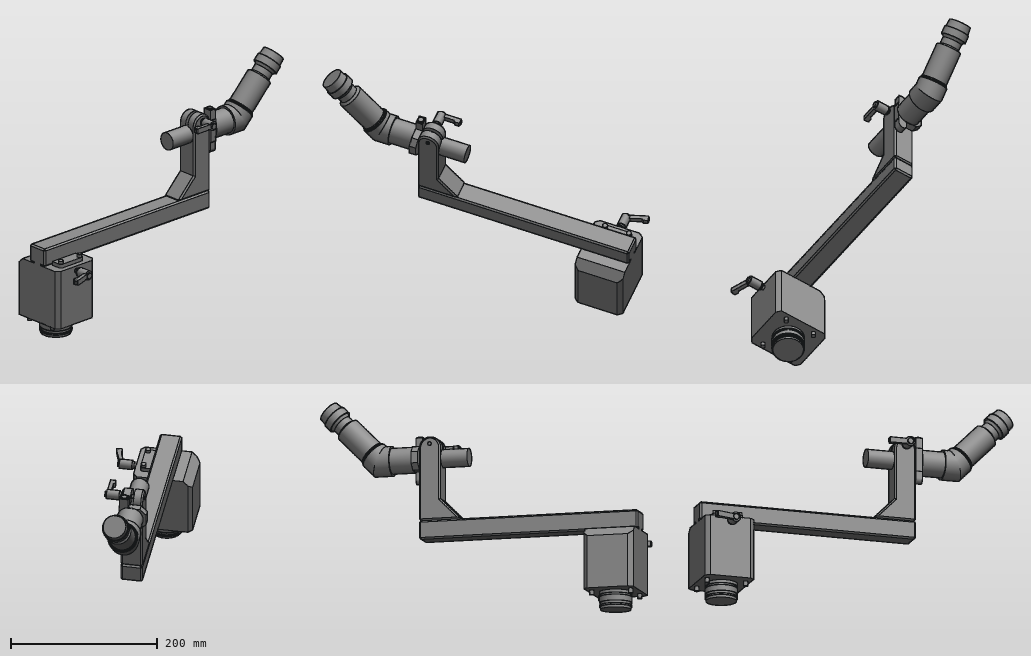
import cadquery as cq
import math

bar_width = 30.0
bar_height = 26.0
bar_length = 310.0
bar_bottom = 109.0
bar_top = bar_bottom + bar_height
edge_chamfer = 2.3

column_depth = 30.0
column_back = bar_length
column_front = column_back - column_depth
column_middle = column_back - column_depth / 2
crown_radius = column_depth / 2
crown_height = 236.0
gusset_rise = 29.5
slit_width = 4.5

housing_width = 82.0
housing_depth = 70.0
housing_bottom = 24.5
corner_diameter = 100.0
shoulder_chamfer = 12.2
key_width = 13.0

lens_middle = housing_depth / 2
lens_diameter = 45.0
lens_neck_diameter = 42.0
lens_bands = [
    (lens_diameter, 20.5, housing_bottom),
    (lens_neck_diameter, 17.5, 20.5),
    (lens_diameter, 9.5, 17.5),
    (lens_neck_diameter, 6.0, 9.5),
    (lens_diameter, 3.5, 6.0),
    (lens_neck_diameter, 0, 3.5),
]

foot_diameter = 6.0
foot_length = 6.5
foot_offset_x = 22.5
foot_offset_y = 27.5

plate_inside = 16.5
plate_side = 33.0
plate_front = 13.0
plate_back = 56.0
plate_height = 5.5
screw_diameter = 7.0
screw_head_height = 4.0
screw_inset = 4.0

hub_diameter = 13.0
hub_length = 17.5
cap_diameter = 8.0
cap_length = 2.3
collar_diameter = 10.0
collar_length = 2.5
stem_diameter = 7.0
lever_width = 5.5
lever_thickness = 7.2
paddle_width = 7.5
paddle_length = 10.0
paddle_bevel = 2.3
tip_chamfer = 1.5

clamp_pin_diameter = 5.0
clamp_pin_head = 1.5
clamp_pin_height = 241.0
upper_hub_start = 19.0
upper_lever_length = 30.0

lower_hub_start = 47.5
lower_hub_height = 102.5
lower_lever_length = 32.0
lower_lever_tilt = 18.6

scope_height = 222.0
rod_diameter = 25.0
rod_front = 243.0
barrel_diameter = 36.0
barrel_back = 351.5
elbow_diameter = 41.0
bend_place = 368.2
bend_angle = 45.0
elbow_leg = 14.0
ring_step = 16.0
ring_end = 17.5
ring_diameter = 39.0
ring_step_diameter = 37.0
tube_end = 66.0
neck_diameter = 27.5
neck_start = 69.0
neck_end = 78.0
eyecup_start = 82.0
eyecup_base_diameter = 31.5
eyecup_step = 93.0
eyecup_end = 104.0
eyecup_diameter = 36.0
eyecup_rim_diameter = 33.0
eyecup_face_diameter = 31.3

block_back = 319.5
block_left = -22.0
block_right = 16.0
block_half_height = 16.5
block_corner = 8.5
post_left = 2.5
post_right = 15.0
post_top = 253.5
post_bottom = 189.5
post_chamfer = 1.0
button_diameter = 8.0
button_height = 1.0


def box(x_range, y_range, z_range):
    """Box given by its lower and upper limits along each axis."""
    sizes = [high - low for low, high in (x_range, y_range, z_range)]
    return cq.Workplane("XY", origin=(x_range[0], y_range[0], z_range[0])).box(*sizes, centered=False)


def turned(origin, axis, side, outline):
    """Solid of revolution: the outline lists (radius, place along the axis)."""
    normal = cq.Vector(*side).cross(cq.Vector(*axis))
    plane = cq.Plane(origin=origin, xDir=side, normal=normal)
    return cq.Workplane(plane).polyline(outline).close().revolve(360, (0, 0), (0, 1))


def rod_along_y(diameter, start, end):
    return cq.Workplane("XZ", origin=(0, start, scope_height)).circle(diameter / 2).extrude(start - end)


def make_bar():
    half = bar_width / 2
    return box((-half, half), (0, bar_length), (bar_bottom, bar_top)).edges().chamfer(edge_chamfer)


def make_column():
    gusset_front = column_front - gusset_rise
    column = (
        cq.Workplane("YZ", origin=(-bar_width / 2, 0, 0))
        .moveTo(column_back, bar_top)
        .lineTo(column_back, crown_height)
        .threePointArc((column_middle, crown_height + crown_radius), (column_front, crown_height))
        .lineTo(column_front, bar_top + gusset_rise)
        .lineTo(gusset_front, bar_top)
        .close()
        .extrude(bar_width)
        .faces("<X or >X or <Z")
        .edges()
        .chamfer(edge_chamfer)
    )
    rod_bore = rod_along_y(rod_diameter, gusset_front, column_back)
    crown_top = crown_height + crown_radius
    half_slit = slit_width / 2
    slit = box((-half_slit, half_slit), (column_front, column_back), (scope_height, crown_top))
    return column.cut(rod_bore).cut(slit)


def make_housing():
    half = housing_width / 2
    block = box((-half, half), (0, housing_depth), (housing_bottom, bar_bottom))
    turned_corners = (
        cq.Workplane("XY", origin=(0, housing_depth / 2, housing_bottom))
        .circle(corner_diameter / 2)
        .extrude(bar_bottom - housing_bottom)
    )
    shoulder = (
        cq.Workplane("XZ")
        .polyline([
            (-half, bar_bottom),
            (-half + shoulder_chamfer, bar_bottom),
            (-half, bar_bottom - shoulder_chamfer),
        ])
        .close()
        .extrude(-housing_depth)
    )
    key_half = key_width / 2
    key = box((-key_half, key_half), (0, housing_depth), (bar_bottom, bar_bottom + 2 * edge_chamfer))
    return block.intersect(turned_corners).cut(shoulder).union(key)


def make_lens():
    """Stack of wide and narrow bands."""
    lens = cq.Workplane("XY")
    for diameter, bottom, top in lens_bands:
        band = (
            cq.Workplane("XY", origin=(0, lens_middle, bottom))
            .circle(diameter / 2)
            .extrude(top - bottom)
        )
        lens = lens.union(band)
    return lens


def make_feet():
    return (
        cq.Workplane("XY", origin=(0, lens_middle, housing_bottom))
        .rect(2 * foot_offset_x, 2 * foot_offset_y, forConstruction=True)
        .vertices()
        .circle(foot_diameter / 2)
        .extrude(-foot_length)
    )


def make_side_plate():
    plate = (
        box((plate_inside, plate_side), (plate_front, plate_back), (bar_bottom, bar_bottom + plate_height))
        .edges("|Z and >X")
        .fillet(screw_inset)
    )
    screw_x = plate_side - screw_inset
    screws = (
        cq.Workplane("XY", origin=(0, 0, bar_bottom))
        .pushPoints([(screw_x, plate_front + screw_inset), (screw_x, plate_back - screw_inset)])
        .circle(screw_diameter / 2)
        .extrude(plate_height + screw_head_height)
    )
    return plate.union(screws)


def make_clamp_lever(wall, hub_start, y, z, lever_length, tilt):
    """Lever on a stem that leaves the wall along +X; the lever points to -Y, tilted towards +X."""
    hub_end = hub_start + hub_length
    collar_start = hub_start - collar_length
    spindle = turned((0, y, z), (1, 0, 0), (0, 1, 0), [
        (0, wall),
        (stem_diameter / 2, wall),
        (stem_diameter / 2, collar_start),
        (collar_diameter / 2, collar_start),
        (collar_diameter / 2, hub_start),
        (hub_diameter / 2, hub_start),
        (hub_diameter / 2, hub_end),
        (cap_diameter / 2, hub_end),
        (cap_diameter / 2, hub_end + cap_length),
        (0, hub_end + cap_length),
    ])
    half = lever_width / 2
    lever_x = hub_end - half
    paddle_side = half - paddle_width
    paddle_start = paddle_length - lever_length
    lever = (
        cq.Workplane("XY", origin=(lever_x, y, z))
        .polyline([
            (-half, 0),
            (-half, paddle_start),
            (paddle_side, paddle_start - paddle_bevel),
            (paddle_side, paddle_bevel - lever_length),
            (paddle_side + paddle_bevel, -lever_length),
            (half, -lever_length),
            (half, 0),
        ])
        .close()
        .extrude(lever_thickness / 2, both=True)
        .faces("<Y")
        .edges()
        .chamfer(tip_chamfer)
        .rotate((lever_x, y, z), (lever_x, y, z + 4.5), tilt)
    )
    return spindle.union(lever)


def make_clamp_pin():
    """Pin across the slit, from its head on the -X face into the upper lever."""
    start = -bar_width / 2 - clamp_pin_head
    return (
        cq.Workplane("YZ", origin=(start, column_middle, clamp_pin_height))
        .circle(clamp_pin_diameter / 2)
        .extrude(upper_hub_start - start)
    )


def make_stand():
    parts = [
        make_column(),
        make_housing(),
        make_lens(),
        make_feet(),
        make_side_plate(),
        make_clamp_pin(),
        make_clamp_lever(
            wall=bar_width / 2,
            hub_start=upper_hub_start,
            y=column_middle,
            z=clamp_pin_height,
            lever_length=upper_lever_length,
            tilt=0,
        ),
        make_clamp_lever(
            wall=housing_width / 2,
            hub_start=lower_hub_start,
            y=housing_depth / 2,
            z=lower_hub_height,
            lever_length=lower_lever_length,
            tilt=lower_lever_tilt,
        ),
    ]
    stand = make_bar()
    for part in parts:
        stand = stand.union(part)
    return stand


def make_elbow(axis):
    """Mitred elbow from the barrel to the inclined tube."""
    path = cq.Workplane("YZ").polyline([
        (barrel_back, scope_height),
        (bend_place, scope_height),
        (bend_place + elbow_leg * axis[1], scope_height + elbow_leg * axis[2]),
    ])
    return (
        cq.Workplane("XZ", origin=(0, barrel_back, scope_height))
        .circle(elbow_diameter / 2)
        .sweep(path, transition="right")
    )


def make_eyepiece(axis):
    tube = barrel_diameter / 2
    ring = ring_diameter / 2
    neck = neck_diameter / 2
    eyecup = eyecup_diameter / 2
    outline = [
        (0, 0),
        (ring, 0),
        (ring, ring_step),
        (ring_step_diameter / 2, ring_step),
        (ring_step_diameter / 2, ring_end),
        (tube, ring_end),
        (tube, tube_end),
        (neck, neck_start),
        (neck, neck_end),
        (eyecup_base_diameter / 2, eyecup_start),
        (eyecup, eyecup_start),
        (eyecup, eyecup_step),
        (eyecup_rim_diameter / 2, eyecup_step),
        (eyecup_face_diameter / 2, eyecup_end),
        (0, eyecup_end),
    ]
    return turned((0, bend_place, scope_height), axis, (1, 0, 0), outline)


def make_adjuster():
    """Block against the column with a cross post: round at the bottom, a button on top."""
    y_range = (column_back, block_back)
    z_range = (scope_height - block_half_height, scope_height + block_half_height)
    block = box((block_left, block_right), y_range, z_range).edges("|Y and <X").chamfer(block_corner)
    post_radius = (post_right - post_left) / 2
    post_middle = post_left + post_radius
    arc_height = post_bottom + post_radius
    post = (
        cq.Workplane("XZ", origin=(0, column_back, 0))
        .moveTo(post_left, post_top)
        .lineTo(post_left, arc_height)
        .threePointArc((post_middle, post_bottom), (post_right, arc_height))
        .lineTo(post_right, post_top)
        .close()
        .extrude(column_back - block_back)
        .faces(">Z")
        .edges()
        .chamfer(post_chamfer)
    )
    button = (
        cq.Workplane("XY", origin=(post_middle, (column_back + block_back) / 2, post_top))
        .circle(button_diameter / 2)
        .extrude(button_height)
    )
    return block.union(post).union(button)


def make_scope():
    angle = math.radians(bend_angle)
    axis = (0, math.cos(angle), math.sin(angle))
    rod = rod_along_y(rod_diameter, rod_front, block_back)
    barrel = rod_along_y(barrel_diameter, block_back, barrel_back)
    return rod.union(make_adjuster()).union(barrel).union(make_elbow(axis)).union(make_eyepiece(axis))


stand = make_stand()
scope = make_scope()
result = cq.Compound.makeCompound([stand.val(), scope.val()])